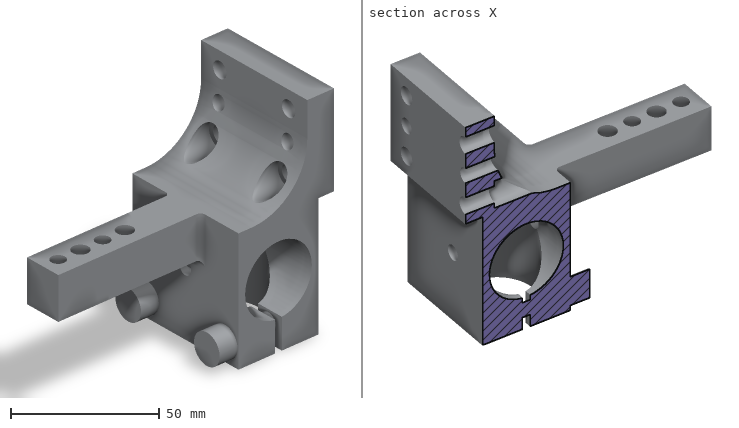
import cadquery as cq
import math

width = 54.0
length = 107.0
height = 93.0

flange_thickness = 12.0
flange_height = 40.0
flange_step = 7.0
block_depth = 36.0
cove_radius = 25.0
block_top = height - flange_height
block_back = -flange_step
block_front = block_back - block_depth

arm_width = 15.9
arm_height = 18.2
arm_fillet = 2.0
arm_hole_tip_offset = 7.0
arm_hole_span = 30.0
arm_hole_count = 4

bore_diameter = 30.0
bore_height = 28.0
bore_y = block_back - block_depth / 2
slit_width = 3.0
screw_diameter = 8.0
screw_height = 8.0
screw_spacing = 40.0
head_diameter = 13.1
head_length = 8.0

large_hole = 6.8
small_hole = 6.0
counterbore_diameter = 11.0
counterbore_floor_y = -flange_thickness
hole_spacing = 35.0
upper_hole_drop = 7.5
middle_hole_drop = 20.0
lower_hole_drop = 32.5


def cylinder_y(x, z, diameter, front, back):
    """Cylinder along Y between the front and back planes."""
    start = cq.Vector(x, front, z)
    return cq.Workplane(cq.Solid.makeCylinder(diameter / 2, back - front, start, cq.Vector(0, 1, 0)))


def make_body():
    """Flange and block profile extruded across the width, with a cove on the front."""
    cove_y = -flange_thickness - cove_radius
    cove_z = block_top + cove_radius
    cove_mid = cove_radius * math.sqrt(0.5)
    return (
        cq.Workplane("YZ")
        .moveTo(0, height)
        .lineTo(-flange_thickness, height)
        .lineTo(-flange_thickness, cove_z)
        .threePointArc((cove_y + cove_mid, cove_z - cove_mid), (cove_y, block_top))
        .lineTo(block_front, block_top)
        .lineTo(block_front, 0)
        .lineTo(block_back, 0)
        .lineTo(block_back, block_top)
        .lineTo(0, block_top)
        .close()
        .extrude(width / 2, both=True)
    )


def add_arm(body):
    """Arm level with the block top, filleted on its sides and underside at the root."""
    arm = cq.Workplane("XY").box(
        arm_width, length + block_front, arm_height, centered=(True, False, False)
    ).translate((0, -length, block_top - arm_height))
    margin = 0.1
    root_edges = cq.selectors.BoxSelector(
        (-arm_width / 2 - margin, block_front - margin, block_top - arm_height - margin),
        (arm_width / 2 + margin, block_front + margin, block_top - margin),
    )
    return body.union(arm).edges(root_edges).fillet(arm_fillet)


def cut_arm_holes(body):
    """Row of vertical holes, alternately small and large from the tip."""
    pitch = arm_hole_span / (arm_hole_count - 1)
    for index in range(arm_hole_count):
        diameter = small_hole if index % 2 == 0 else large_hole
        hole_y = -length + arm_hole_tip_offset + index * pitch
        hole = cq.Workplane("XY").center(0, hole_y).circle(diameter / 2).extrude(height)
        body = body.cut(hole)
    return body


def cut_clamp(body):
    """Bore across the width, an equal bore rising to it from below, a slit and a cross hole."""
    bore = (
        cq.Workplane("YZ")
        .center(bore_y, bore_height)
        .circle(bore_diameter / 2)
        .extrude(width / 2, both=True)
    )
    lower_bore = (
        cq.Workplane("XY")
        .center(0, bore_y)
        .circle(bore_diameter / 2)
        .extrude(bore_height)
    )
    slit = cq.Workplane("XY").box(
        width, slit_width, bore_height, centered=(True, True, False)
    ).translate((0, bore_y, 0))
    cross_hole = cylinder_y(0, bore_height, small_hole, block_front, block_back)
    return body.cut(bore).cut(lower_bore).cut(slit).cut(cross_hole)


def cut_flange_holes(body):
    """Three holes on each side through the flange; the lowest is counterbored."""
    holes = (
        (upper_hole_drop, large_hole),
        (middle_hole_drop, small_hole),
        (lower_hole_drop, large_hole),
    )
    for x in (-hole_spacing / 2, hole_spacing / 2):
        for drop, diameter in holes:
            body = body.cut(cylinder_y(x, height - drop, diameter, block_front, 0))
        counterbore = cylinder_y(
            x, height - lower_hole_drop, counterbore_diameter, block_front, counterbore_floor_y
        )
        body = body.cut(counterbore)
    return body


def add_screws(body):
    """Screw shanks bridging the slit, with round heads on the front of the block."""
    for x in (-screw_spacing / 2, screw_spacing / 2):
        shank = cylinder_y(x, screw_height, screw_diameter, block_front, block_back)
        head = cylinder_y(x, screw_height, head_diameter, block_front - head_length, block_front)
        body = body.union(shank).union(head)
    return body


result = add_arm(make_body())
result = cut_arm_holes(result)
result = cut_clamp(result)
result = cut_flange_holes(result)
result = add_screws(result)